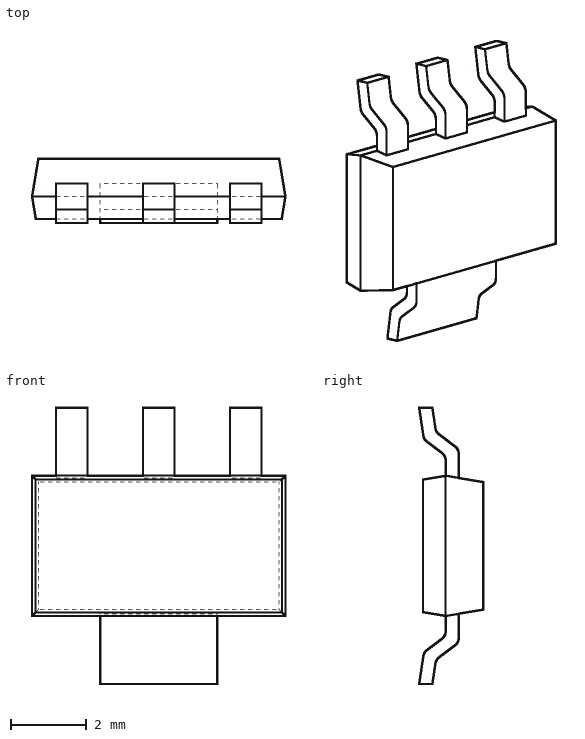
import cadquery as cq
import math

BODY_LENGTH = 6.7
BODY_HEIGHT = 3.71
BACK_DEPTH = 1.0
FRONT_DEPTH = 0.6
DRAFT_ANGLE = 9.5

SPAN = 7.3
METAL_THICKNESS = 0.35
TIP_REACH = 0.7
FIRST_BEND_Z = 2.38
SLOPE_ANGLE = 53.0
TIP_ANGLE = 8.5
BEND_RADIUS = 0.25

LEAD_COUNT = 3
LEAD_WIDTH = 0.84
LEAD_PITCH = 2.3
TAB_WIDTH = 3.1

TIP_Z = SPAN / 2


def tapered_half(depth):
    """Half of the body, narrowing from the parting plane towards -Y."""
    return (
        cq.Workplane("XZ")
        .rect(BODY_LENGTH, BODY_HEIGHT)
        .extrude(depth, taper=DRAFT_ANGLE)
    )


def make_body():
    front = tapered_half(FRONT_DEPTH)
    back = tapered_half(BACK_DEPTH).mirror("XZ")
    return front.union(back, clean=False).solids()


def bent_strip(width, body):
    """Strip centred on X = 0 that leaves the top wall of the body and bends to the front."""
    slope = math.tan(math.radians(SLOPE_ANGLE))
    tip_slope = math.tan(math.radians(TIP_ANGLE))

    second_bend_z = (
        (TIP_REACH - TIP_Z * tip_slope + FIRST_BEND_Z * slope) / (slope - tip_slope)
    )
    second_bend_y = -(second_bend_z - FIRST_BEND_Z) * slope

    first_half_bend = math.radians(SLOPE_ANGLE / 2)
    mean_angle = math.radians((SLOPE_ANGLE + TIP_ANGLE) / 2)
    second_half_bend = math.radians((SLOPE_ANGLE - TIP_ANGLE) / 2)
    mitre = METAL_THICKNESS / math.cos(second_half_bend)
    tip_thickness = METAL_THICKNESS / math.cos(math.radians(TIP_ANGLE))

    first_front = (0, FIRST_BEND_Z)
    second_front = (second_bend_y, second_bend_z)
    second_back = (
        second_bend_y + mitre * math.cos(mean_angle),
        second_bend_z + mitre * math.sin(mean_angle),
    )
    first_back = (METAL_THICKNESS, FIRST_BEND_Z + METAL_THICKNESS * math.tan(first_half_bend))
    strip = (
        cq.Workplane("YZ")
        .moveTo(0, 0)
        .lineTo(*first_front)
        .lineTo(*second_front)
        .lineTo(-TIP_REACH, TIP_Z)
        .lineTo(-TIP_REACH + tip_thickness, TIP_Z)
        .lineTo(*second_back)
        .lineTo(*first_back)
        .lineTo(METAL_THICKNESS, 0)
        .close()
        .extrude(width / 2, both=True)
    )
    for y, z in (first_front, second_front, second_back, first_back):
        strip = strip.edges(cq.selectors.NearestToPointSelector((0, y, z))).fillet(BEND_RADIUS)

    return strip.cut(body).solids()


def make_lead(index, body):
    x = (index - (LEAD_COUNT - 1) / 2) * LEAD_PITCH
    return bent_strip(LEAD_WIDTH, body).translate((x, 0, 0))


def make_tab(body):
    return bent_strip(TAB_WIDTH, body).mirror("XY")


body = make_body()
leads = [make_lead(index, body) for index in range(LEAD_COUNT)]
tab = make_tab(body)

result = cq.Compound.makeCompound([body.val(), *[lead.val() for lead in leads], tab.val()])